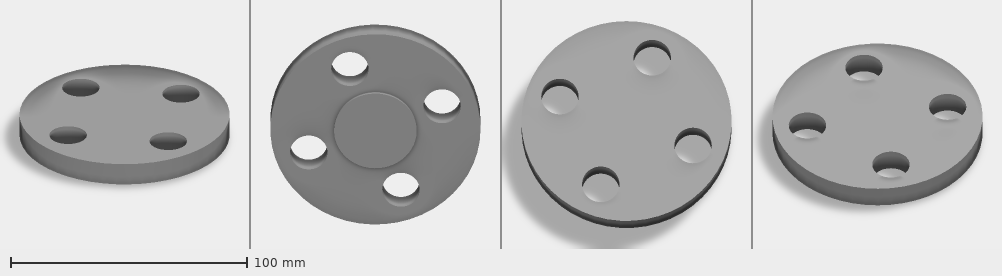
import cadquery as cq

flange_diameter = 88.9
total_thickness = 11.2
raised_face_diameter = 34.9
raised_face_height = 1.5
plate_thickness = total_thickness - raised_face_height

bolt_circle_diameter = 60.35
bolt_hole_diameter = 15.8
bolt_hole_count = 4


def flange_plate():
    """Round plate whose underside lies on Z = 0."""
    return cq.Workplane("XY").circle(flange_diameter / 2).extrude(plate_thickness)


def raised_face():
    """Shallow round boss below the plate."""
    return cq.Workplane("XY").circle(raised_face_diameter / 2).extrude(-raised_face_height)


def bolt_holes():
    """Through holes evenly spaced on the bolt circle, the first on +X."""
    return (
        cq.Workplane("XY")
        .polarArray(bolt_circle_diameter / 2, 0, 360, bolt_hole_count)
        .circle(bolt_hole_diameter / 2)
        .extrude(plate_thickness)
    )


result = flange_plate().union(raised_face()).cut(bolt_holes())